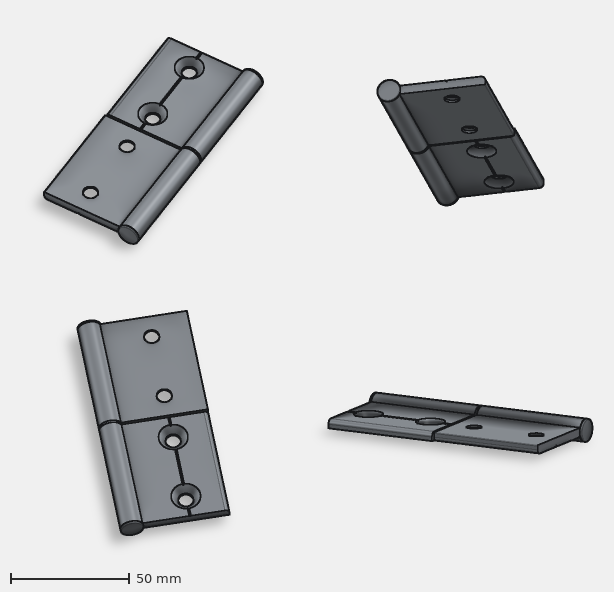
import cadquery as cq

overall_length = 103.0
leaf_length = 50.0
washer_thickness = 1.0
barrel_diameter = 10.0
axis_to_free_edge = 42.0
leaf_thickness = 4.0
large_edge_radius = 2.1
small_edge_radius = 0.3
hole_diameter = 6.5
countersink_diameter = 12.5
countersink_angle = 90.0
hole_to_axis = 25.0
hole_spacing = 30.0
groove_width = 0.8
groove_depth = 0.4
cap_edge_radius = 0.3
dome_height = 0.15

barrel_radius = barrel_diameter / 2
half_thickness = leaf_thickness / 2
leaf_start = washer_thickness / 2
leaf_end = leaf_start + leaf_length
leaf_middle = (leaf_start + leaf_end) / 2
cap_thickness = overall_length / 2 - leaf_end


def extrude_along_y(profile, start, length):
    """Extrude a profile drawn in the XZ plane from y = start towards +Y."""
    return profile.extrude(-length).translate((0, start, 0))


def turn_about_x(body, angle):
    """Turn a body about the X axis."""
    return body.rotate((0, 0, 0), (1, 0, 0), angle)


def make_plate():
    """Flat plate with a large round on its upper free edge and a small one on the lower."""
    outline = (
        cq.Workplane("XZ")
        .moveTo(-axis_to_free_edge, -half_thickness)
        .lineTo(0, -half_thickness)
        .lineTo(0, half_thickness)
        .lineTo(-axis_to_free_edge, half_thickness)
        .close()
    )
    plate = extrude_along_y(outline, leaf_start, leaf_length)
    plate = plate.edges("<X and >Z").fillet(large_edge_radius)
    return plate.edges("<X and <Z").fillet(small_edge_radius)


def make_groove():
    """V-shaped marking groove in the upper face, running through the hole centres."""
    outline = (
        cq.Workplane("XZ")
        .moveTo(-hole_to_axis - groove_width / 2, half_thickness)
        .lineTo(-hole_to_axis, half_thickness - groove_depth)
        .lineTo(-hole_to_axis + groove_width / 2, half_thickness)
        .close()
    )
    return extrude_along_y(outline, leaf_start, leaf_length)


def make_leaf():
    """Rear leaf: plate and barrel in one piece, with a groove and countersunk screw holes."""
    barrel = extrude_along_y(cq.Workplane("XZ").circle(barrel_radius), leaf_start, leaf_length)
    hole_centres = [
        (-hole_to_axis, leaf_middle + side * hole_spacing / 2)
        for side in (-1, 1)
    ]
    return (
        make_plate()
        .union(barrel)
        .cut(make_groove())
        .copyWorkplane(cq.Workplane("XY", origin=(0, 0, half_thickness)))
        .pushPoints(hole_centres)
        .cskHole(hole_diameter, countersink_diameter, countersink_angle, depth=leaf_thickness)
    )


def make_cap():
    """Rear end cap: a disc with a rounded rim and a slightly domed outer face, turned about Y."""
    dome_edge_radius = barrel_radius - cap_edge_radius
    dome_edge_y = leaf_end + cap_thickness - dome_height
    dome_radius = (dome_edge_radius**2 + dome_height**2) / (2 * dome_height)
    profile = (
        cq.Workplane("XY")
        .moveTo(0, leaf_end)
        .lineTo(barrel_radius, leaf_end)
        .lineTo(barrel_radius, dome_edge_y - cap_edge_radius)
        .radiusArc((dome_edge_radius, dome_edge_y), -cap_edge_radius)
        .radiusArc((0, dome_edge_y + dome_height), -dome_radius)
        .close()
    )
    return profile.revolve(360, (0, 0, 0), (0, 1, 0))


def make_washer():
    """Disc between the two barrels."""
    disc = cq.Workplane("XZ").circle(barrel_radius)
    return extrude_along_y(disc, -washer_thickness / 2, washer_thickness)


half_turns = (0, 180)
leaves = [turn_about_x(make_leaf(), angle) for angle in half_turns]
caps = [turn_about_x(make_cap(), angle) for angle in half_turns]
washer = make_washer()

result = cq.Compound.makeCompound(
    [
        *[leaf.val() for leaf in leaves],
        *[cap.val() for cap in caps],
        washer.val(),
    ]
)